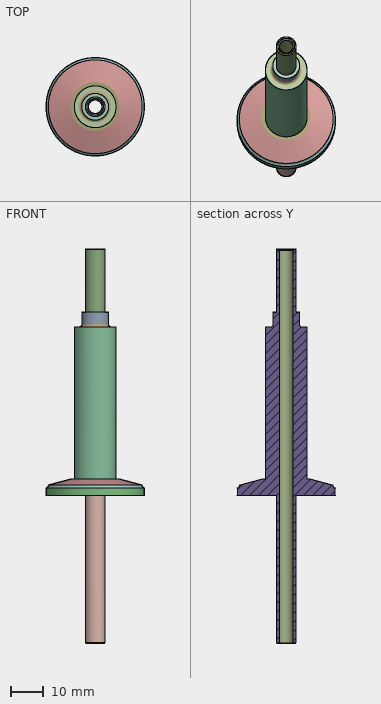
import cadquery as cq
import math

tube_radius = 3.0
bore_radius = 2.0
collar_radius = 4.1
body_radius = 6.4
flange_radius = 15.0
flange_land_radius = 7.5

total_height = 120
flange_bottom = 45.0
flange_top = 50.0
body_top = 96.4
collar_top = 100.8

flange_slope = 15
flange_rim_round = 1.0
collar_root_round = 0.7
tube_end_chamfer = 0.2
bore_mouth_chamfer = 0.5

slope_angle = math.radians(flange_slope)
rim_center_radius = flange_radius - flange_rim_round
rim_cone_radius = rim_center_radius + flange_rim_round * math.sin(slope_angle)
rim_cone_height = flange_top - (rim_cone_radius - flange_land_radius) * math.tan(slope_angle)
rim_center_height = rim_cone_height - flange_rim_round * math.cos(slope_angle)


def cylinder(radius, bottom, top):
    """Upright cylinder on the Z axis."""
    return cq.Workplane("XY").workplane(offset=bottom).circle(radius).extrude(top - bottom)


def make_flange():
    """Disc with a conical upper face and a rounded rim."""
    return (
        cq.Workplane("XZ")
        .moveTo(0, flange_bottom)
        .lineTo(flange_radius, flange_bottom)
        .lineTo(flange_radius, rim_center_height)
        .radiusArc((rim_cone_radius, rim_cone_height), flange_rim_round)
        .lineTo(flange_land_radius, flange_top)
        .lineTo(0, flange_top)
        .close()
        .revolve(360, (0, 0, 0), (0, 1, 0))
    )


def make_collar_root():
    """Concave round between the body's top face and the collar."""
    return (
        cq.Workplane("XZ")
        .moveTo(0, body_top)
        .lineTo(collar_radius + collar_root_round, body_top)
        .radiusArc((collar_radius, body_top + collar_root_round), collar_root_round)
        .lineTo(0, body_top + collar_root_round)
        .close()
        .revolve(360, (0, 0, 0), (0, 1, 0))
    )


tube = cylinder(tube_radius, 0, total_height).faces("<Z").edges().chamfer(tube_end_chamfer)
body = cylinder(body_radius, flange_bottom, body_top)
collar = cylinder(collar_radius, body_top, collar_top)
bore = cylinder(bore_radius, 0, total_height)

outside = tube.union(make_flange()).union(body).union(collar).union(make_collar_root())
bored = outside.cut(bore)
result = bored.faces(">Z").edges("%CIRCLE").edges(cq.selectors.RadiusNthSelector(0)).chamfer(bore_mouth_chamfer)